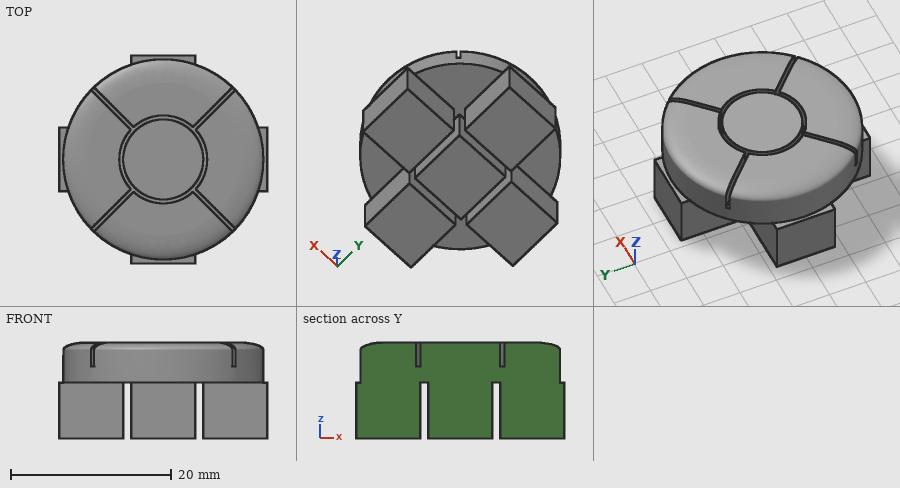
import cadquery as cq

overall_width = 26.0
overall_height = 12.0

foot_width = 8.0
foot_height = 7.0
foot_pitch = (overall_width - foot_width) / 2

cap_radius = 25.0 / 2
edge_width = 3.0
edge_height = 1.0
edge_start = overall_height - edge_height

core_radius = 10.0 / 2
slot_width = 0.5
groove_radius = core_radius + slot_width
cut_depth = 3.0
cut_floor = overall_height - cut_depth
slot_angles = (45, 135, 225, 315)


def make_cap():
    """Revolve half of the cap's section about the Z axis."""
    return (
        cq.Workplane("XZ")
        .moveTo(0, foot_height)
        .lineTo(cap_radius, foot_height)
        .lineTo(cap_radius, edge_start)
        .ellipseArc(edge_width, edge_height, 0, 90, startAtCurrent=True)
        .lineTo(0, overall_height)
        .close()
        .revolve(360, (0, 0, 0), (0, 1, 0))
    )


def make_feet():
    """Five separate square feet arranged as a plus sign."""
    centres = [(0, 0), (foot_pitch, 0), (-foot_pitch, 0), (0, foot_pitch), (0, -foot_pitch)]
    return cq.Workplane("XY").pushPoints(centres).rect(foot_width, foot_width).extrude(foot_height)


def make_cuts():
    """Ring around the core, joined to slots that run out through the rim."""
    floor = cq.Workplane("XY").workplane(offset=cut_floor)
    cuts = floor.circle(groove_radius).extrude(cut_depth)
    slot = floor.center(cap_radius / 2, 0).rect(cap_radius, slot_width).extrude(cut_depth)
    for angle in slot_angles:
        cuts = cuts.union(slot.rotate((0, 0, 0), (0, 0, 1), angle))
    core = floor.circle(core_radius).extrude(cut_depth)
    return cuts.cut(core)


result = make_cap().cut(make_cuts()).union(make_feet())